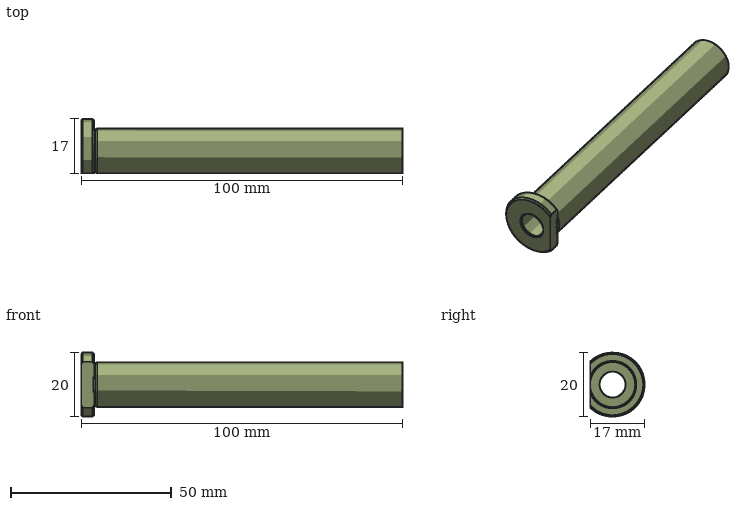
import cadquery as cq

length = 100.0
shank_radius = 14.0 / 2
bore_radius = 8.0 / 2
bore_chamfer_width = 0.3
bore_chamfer_length = 0.5

head_radius = 20.0 / 2
head_thickness = 4.0
head_chamfer = 0.5
flat_offset = shank_radius

undercut_radius = 13.3 / 2
undercut_depth = 0.3
undercut_rim_radius = 7.4
undercut_floor_end = head_thickness + 0.4
undercut_end = head_thickness + 1.0


def make_turned_body():
    """Revolve the half profile (X along the axis, Y as radius) about X."""
    undercut_start = head_thickness - undercut_depth
    profile = [
        (0, bore_radius + bore_chamfer_width),
        (0, head_radius - head_chamfer),
        (head_chamfer, head_radius),
        (head_thickness - head_chamfer, head_radius),
        (head_thickness, head_radius - head_chamfer),
        (head_thickness, undercut_rim_radius),
        (undercut_start, undercut_rim_radius - undercut_depth),
        (undercut_start, undercut_radius),
        (undercut_floor_end, undercut_radius),
        (undercut_end, shank_radius),
        (length, shank_radius),
        (length, bore_radius),
        (bore_chamfer_length, bore_radius),
    ]
    return cq.Workplane("XY").polyline(profile).close().revolve(360, (0, 0, 0), (1, 0, 0))


def make_flat_cutter():
    """Block that removes the -Y side of the head."""
    return (
        cq.Workplane("XY")
        .box(head_thickness, head_radius, 2 * head_radius, centered=(False, False, True))
        .translate((0, -flat_offset - head_radius, 0))
    )


result = make_turned_body().cut(make_flat_cutter())